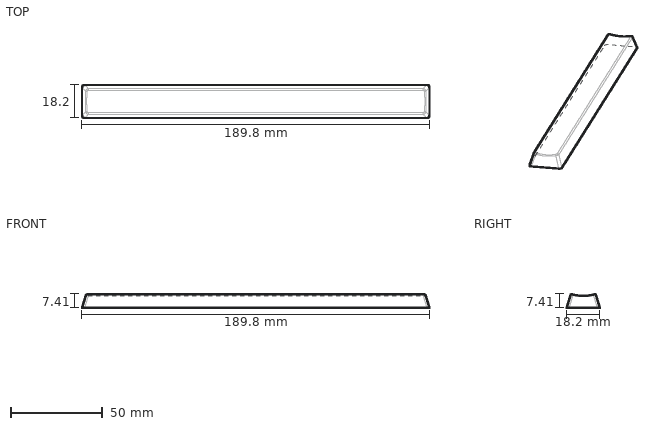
import cadquery as cq
import math

length = 189.8
width = 18.2
height = 7.4
wall_lean = 17.0
corner_radius = 1.5

dish_depth = 1.05
rim_radius = 0.8
rim_allowance = 0.2
rim_z = height + rim_allowance


def leaning_bar():
    """Bar left taller than the rim, so that the dish cuts away its whole top."""
    blank = cq.Workplane("XY").rect(length, width).extrude(rim_z + dish_depth, taper=wall_lean)
    return blank.edges("not #Z").fillet(corner_radius)


def dish_cutter():
    """Cylinder along X that reaches rim_z at the long sides and dips by dish_depth."""
    half_chord = width / 2 - rim_z * math.tan(math.radians(wall_lean))
    radius = (half_chord**2 + dish_depth**2) / (2 * dish_depth)
    axis_z = rim_z - dish_depth + radius
    return cq.Workplane("YZ", origin=(0, 0, axis_z)).circle(radius).extrude(length, both=True)


dished_bar = leaning_bar().cut(dish_cutter())
dish_middle = cq.selectors.NearestToPointSelector((0, 0, rim_z - dish_depth))
result = dished_bar.faces(dish_middle).edges().fillet(rim_radius)